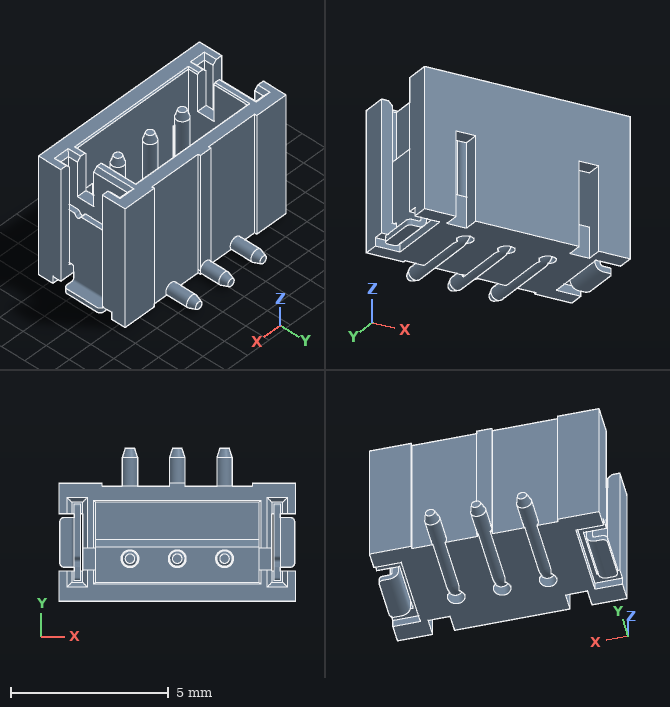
import cadquery as cq
import math


width = 7.5
depth = 3.75
height = 5.0

pocket_width = 5.2
pocket_front = 0.6
pocket_back = 3.14
pocket_rim_chamfer = 0.05
front_floor = 1.095
floor_step = 0.23
floor_step_back = 1.96

relief_depth = 0.1
relief_width = 4.77
rib_width = 0.495

window_width = 0.71
window_height = 3.0
window_outer = pocket_width / 2

slot_inner = 3.0
slot_outer = 3.345
slot_front = pocket_front
slot_back = pocket_back
slot_floor = 0.735
slot_lead_in = 0.15
opening_front = 0.97
opening_back = 2.77
foot_relief_height = 0.29
foot_relief_front = 0.62
foot_relief_back = 3.165
foot_relief_inner = slot_inner - slot_lead_in

notch_front = 0.99
notch_back = 1.695
notch_floor = 3.4

pin_count = 3
pin_pitch = 1.5
pin_diameter = 0.495
pin_tip_diameter = 0.3
pin_hole_clearance = 0.03
pin_tip_length = 0.3
pin_bend_radius = pin_diameter
pin_y = 1.35
pin_top = 4.395
pin_end = 4.85
overhang = 0.1
pin_leg_z = pin_diameter / 2 - overhang

tab_thickness = 0.2
tab_outer = 3.27
tab_clearance = 0.05
tab_top = 2.955
tab_corner_radius = 0.1
tail_front = 1.07
tail_back = 2.66
tail_fillet = 0.05
bend_inner_radius = 0.1
foot_tip = 3.73
foot_corner_radius = 0.15
dimple_y = 1.25
dimple_depth = 0.135
dimple_radius = 0.1


def block(x0, x1, y0, y1, z0, z1):
    """Axis-aligned box between two corners."""
    return cq.Workplane("XY").box(x1 - x0, y1 - y0, z1 - z0, centered=False).translate((x0, y0, z0))


def mirrored_pair(shape):
    """The shape together with its mirror image across the mid-plane X = 0."""
    return shape.union(shape.mirror("YZ"))


def make_pocket():
    """Stepped-floor pocket with a chamfered rim."""
    back_floor = front_floor - floor_step
    cavity = (
        cq.Workplane("YZ")
        .moveTo(pocket_front, height)
        .lineTo(pocket_front, front_floor)
        .lineTo(floor_step_back - floor_step, front_floor)
        .lineTo(floor_step_back, back_floor)
        .lineTo(pocket_back, back_floor)
        .lineTo(pocket_back, height)
        .close()
        .extrude(pocket_width / 2, both=True)
    )
    rim = flared_mouth(-pocket_width / 2, pocket_width / 2, pocket_front, pocket_back, pocket_rim_chamfer)
    return cavity.union(rim)


def flared_mouth(x0, x1, y0, y1, flare):
    """45 degree lead-in that widens a rectangular hole at the top face."""
    return (
        cq.Workplane("XY", origin=((x0 + x1) / 2, (y0 + y1) / 2, height))
        .rect(x1 - x0 + 2 * flare, y1 - y0 + 2 * flare)
        .workplane(offset=-flare)
        .rect(x1 - x0, y1 - y0)
        .loft(ruled=True)
    )


def make_rear_relief():
    """Shallow step across the rear wall, left of the central rib."""
    return block(-relief_width / 2, -rib_width / 2, depth - relief_depth, depth, 0, height)


def make_front_window():
    """Slot through the front wall, open at the underside."""
    return block(-window_outer, window_width - window_outer, 0, pocket_front, 0, window_height)


def make_tab_slot():
    """Left tab slot with its lead-in, its opening in the end face and the foot relief below."""
    slot = block(-slot_outer, -slot_inner, slot_front, slot_back, slot_floor, height)
    lead_in = flared_mouth(-slot_outer, -slot_inner, slot_front, slot_back, slot_lead_in)
    opening = block(-width / 2, -slot_inner, opening_front, opening_back, 0, height)
    foot_relief = block(
        -width / 2, -foot_relief_inner, foot_relief_front, foot_relief_back, 0, foot_relief_height
    )
    return slot.union(lead_in).union(opening).union(foot_relief)


def make_end_notch():
    """Notch through the left end wall, between tab slot and pocket."""
    return block(-slot_outer, -pocket_width / 2, notch_front, notch_back, notch_floor, height)


def make_pin(x):
    """Right-angle round pin: upright contact, bend and rearward solder leg, both ends tapered."""
    radius = pin_diameter / 2
    tip_radius = pin_tip_diameter / 2
    bend_y = pin_y + pin_bend_radius
    bend_z = pin_leg_z + pin_bend_radius

    def tapered_rod(length):
        return (
            cq.Workplane("XZ")
            .polyline([
                (0, 0),
                (radius, 0),
                (radius, length - pin_tip_length),
                (tip_radius, length),
                (0, length),
            ])
            .close()
            .revolve(360, (0, 0, 0), (0, 1, 0))
        )

    contact = tapered_rod(pin_top - bend_z).translate((x, pin_y, bend_z))
    leg = tapered_rod(pin_end - bend_y).rotate((0, 0, 0), (1, 0, 0), -90).translate((x, bend_y, pin_leg_z))
    bend = (
        cq.Workplane("XY", origin=(x, pin_y, bend_z))
        .circle(radius)
        .revolve(90, (-0.075, pin_bend_radius, 0), (0.075, pin_bend_radius, 0))
    )
    return contact.union(bend).union(leg)


def make_pin_hole(x):
    """Clearance hole around an upright contact, down through the pocket floor."""
    return (
        cq.Workplane("XY", origin=(x, pin_y, 0))
        .circle(pin_diameter / 2 + pin_hole_clearance)
        .extrude(front_floor)
    )


def make_tab_plate():
    """Upright tab plate: broad blade with a rounded dip in its top edge, narrower tail below."""
    blade_front = slot_front + tab_clearance
    blade_back = slot_back - tab_clearance
    blade = (
        block(-tab_outer, tab_thickness - tab_outer, blade_front, blade_back, slot_floor, tab_top)
        .edges("|X and >Z")
        .fillet(tab_corner_radius)
    )
    tail_bottom = tab_thickness - overhang + bend_inner_radius
    tail = block(-tab_outer, tab_thickness - tab_outer, tail_front, tail_back, tail_bottom, slot_floor)
    inner_corners = cq.selectors.BoxSelector(
        (-width, tail_front - tail_fillet, slot_floor - tail_fillet),
        (0, tail_back + tail_fillet, slot_floor + tail_fillet),
    )
    plate = blade.union(tail).edges("|X").edges(inner_corners).fillet(tail_fillet)
    return plate.cut(make_dimple())


def make_dimple():
    """S-curved dip made of a concave arc between two convex arcs of the same radius."""
    bottom_z = tab_top - dimple_depth
    turn = math.acos(1 - dimple_depth / (2 * dimple_radius))
    half_width = 2 * dimple_radius * math.sin(turn)
    mid_z = tab_top - dimple_depth / 2
    arc_y = dimple_radius * math.sin(turn / 2)
    arc_z = dimple_radius * (1 - math.cos(turn / 2))
    return (
        cq.Workplane("YZ", origin=(-tab_outer, 0, 0))
        .moveTo(dimple_y - half_width, tab_top)
        .threePointArc(
            (dimple_y - half_width + arc_y, tab_top - arc_z),
            (dimple_y - half_width / 2, mid_z),
        )
        .threePointArc((dimple_y, bottom_z), (dimple_y + half_width / 2, mid_z))
        .threePointArc(
            (dimple_y + half_width - arc_y, tab_top - arc_z),
            (dimple_y + half_width, tab_top),
        )
        .close()
        .extrude(tab_thickness)
    )


def make_tab_foot():
    """Outward foot and the bend that joins it to the tail."""
    foot_top = tab_thickness - overhang
    bend_x = -tab_outer - bend_inner_radius
    bend_z = foot_top + bend_inner_radius
    outer_radius = bend_inner_radius + tab_thickness
    diagonal = math.sqrt(0.5)
    foot = (
        cq.Workplane("XZ", origin=(0, tail_back, 0))
        .moveTo(-foot_tip, -overhang)
        .lineTo(bend_x, -overhang)
        .threePointArc(
            (bend_x + outer_radius * diagonal, bend_z - outer_radius * diagonal),
            (bend_x + outer_radius, bend_z),
        )
        .lineTo(-tab_outer, bend_z)
        .threePointArc(
            (bend_x + bend_inner_radius * diagonal, bend_z - bend_inner_radius * diagonal),
            (bend_x, foot_top),
        )
        .lineTo(-foot_tip, foot_top)
        .close()
        .extrude(tail_back - tail_front)
    )
    return foot.edges("|Z and <X").fillet(foot_corner_radius)


pin_positions = [(i - (pin_count - 1) / 2) * pin_pitch for i in range(pin_count)]
pins = [make_pin(x) for x in pin_positions]

left_tab = make_tab_plate().union(make_tab_foot())
tabs = [left_tab, left_tab.mirror("YZ")]

housing = block(-width / 2, width / 2, 0, depth, 0, height)
housing = housing.cut(make_pocket())
for cutter in (make_rear_relief(), make_front_window(), make_tab_slot(), make_end_notch()):
    housing = housing.cut(mirrored_pair(cutter))
for x, pin in zip(pin_positions, pins):
    housing = housing.cut(make_pin_hole(x)).cut(pin)

result = cq.Compound.makeCompound([
    housing.solids().val(),
    *[pin.solids().val() for pin in pins],
    *[tab.solids().val() for tab in tabs],
])